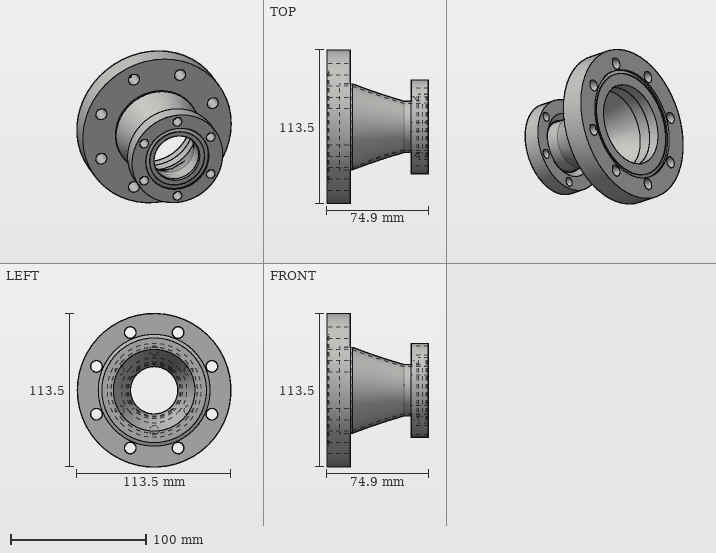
import cadquery as cq
import math

TOTAL_LENGTH = 74.93

LARGE_FLANGE_DIA = 113.54
LARGE_FLANGE_THICKNESS = 17.3
LARGE_RECESS_DIA = 82.55
LARGE_KNIFE_DIA = 77.22
LARGE_BORE_DIA = 60.33
LARGE_SOCKET_DIA = 63.75
LARGE_SOCKET_FLOOR_X = 9.5
LARGE_BOLT_CIRCLE_DIA = 92.2
LARGE_BOLT_HOLE_DIA = 8.4
LARGE_BOLT_COUNT = 8

KNIFE_TIP_DEPTH = 0.65
KNIFE_STEP = 0.65
KNIFE_SLOPE_DEG = 20

REDUCER_LARGE_OD = 63.5
REDUCER_LARGE_ID = 60.2
REDUCER_SMALL_OD = 38.1
REDUCER_SMALL_ID = 34.8
TAPER_START_X = 19.05
INNER_TAPER_START_X = 18.7
TAPER_END_X = 56.8
TAPER_SAG = 0.45

RING_DIA = 69.34
RING_THICKNESS = 12.7
RING_BACK_X = TOTAL_LENGTH - RING_THICKNESS
RING_BORE_DIA = 39.62
RING_POCKET_DIA = 48.15
RING_FLARE_DIA = RING_POCKET_DIA
RING_FLARE_DEPTH = (RING_FLARE_DIA - RING_BORE_DIA) / 2
RING_LIP_LENGTH = 1.0
RING_BOLT_CIRCLE_DIA = 58.7
RING_BOLT_HOLE_DIA = 6.7
RING_BOLT_COUNT = 6

INSERT_DIA = 48.1
INSERT_BORE_DIA = 34.92
INSERT_SOCKET_DIA = 38.35
INSERT_KNIFE_DIA = 41.9
INSERT_SOCKET_DEPTH = 3.0
INSERT_BACK_X = RING_BACK_X + RING_FLARE_DEPTH + RING_LIP_LENGTH
INSERT_SOCKET_FLOOR_X = INSERT_BACK_X + INSERT_SOCKET_DEPTH


def revolve_about_x(profile):
    """Turn a closed (x, radius) outline a full revolution about the X axis."""
    return profile.close().revolve(360, (0, 0, 0), (1, 0, 0))


def knife_slope_depth(outer_dia, knife_dia):
    """Axial fall of the seal slope between the knife tip and the outer diameter."""
    return (outer_dia - knife_dia) / 2 * math.tan(math.radians(KNIFE_SLOPE_DEG))


def bolt_holes(x_start, length, circle_dia, hole_dia, count):
    """Evenly spaced bolt holes along X, straddling the Y axis."""
    return (
        cq.Workplane("YZ", origin=(x_start, 0, 0))
        .polarArray(circle_dia / 2, 180 / count, 360, count)
        .circle(hole_dia / 2)
        .extrude(length)
    )


def make_large_flange():
    """Fixed flange with a knife-edge seal in front and a tube socket behind."""
    knife_floor_x = KNIFE_TIP_DEPTH + KNIFE_STEP
    recess_floor_x = KNIFE_TIP_DEPTH + knife_slope_depth(LARGE_RECESS_DIA, LARGE_KNIFE_DIA)
    profile = (
        cq.Workplane("XY")
        .moveTo(0, LARGE_FLANGE_DIA / 2)
        .lineTo(LARGE_FLANGE_THICKNESS, LARGE_FLANGE_DIA / 2)
        .lineTo(LARGE_FLANGE_THICKNESS, LARGE_SOCKET_DIA / 2)
        .lineTo(LARGE_SOCKET_FLOOR_X, LARGE_SOCKET_DIA / 2)
        .lineTo(LARGE_SOCKET_FLOOR_X, LARGE_BORE_DIA / 2)
        .lineTo(knife_floor_x, LARGE_BORE_DIA / 2)
        .lineTo(knife_floor_x, LARGE_KNIFE_DIA / 2)
        .lineTo(KNIFE_TIP_DEPTH, LARGE_KNIFE_DIA / 2)
        .lineTo(recess_floor_x, LARGE_RECESS_DIA / 2)
        .lineTo(0, LARGE_RECESS_DIA / 2)
    )
    holes = bolt_holes(
        0, LARGE_FLANGE_THICKNESS, LARGE_BOLT_CIRCLE_DIA, LARGE_BOLT_HOLE_DIA, LARGE_BOLT_COUNT
    )
    return revolve_about_x(profile).cut(holes)


def make_reducer():
    """Thin tube with straight ends and a slightly hollow taper between them."""
    outer_mid_x = (TAPER_START_X + TAPER_END_X) / 2
    inner_mid_x = (INNER_TAPER_START_X + TAPER_END_X) / 2
    outer_mid_radius = (REDUCER_LARGE_OD + REDUCER_SMALL_OD) / 4 - TAPER_SAG
    inner_mid_radius = (REDUCER_LARGE_ID + REDUCER_SMALL_ID) / 4 - TAPER_SAG
    profile = (
        cq.Workplane("XY")
        .moveTo(LARGE_SOCKET_FLOOR_X, REDUCER_LARGE_OD / 2)
        .lineTo(TAPER_START_X, REDUCER_LARGE_OD / 2)
        .threePointArc((outer_mid_x, outer_mid_radius), (TAPER_END_X, REDUCER_SMALL_OD / 2))
        .lineTo(INSERT_SOCKET_FLOOR_X, REDUCER_SMALL_OD / 2)
        .lineTo(INSERT_SOCKET_FLOOR_X, REDUCER_SMALL_ID / 2)
        .lineTo(TAPER_END_X, REDUCER_SMALL_ID / 2)
        .threePointArc((inner_mid_x, inner_mid_radius), (INNER_TAPER_START_X, REDUCER_LARGE_ID / 2))
        .lineTo(LARGE_SOCKET_FLOOR_X, REDUCER_LARGE_ID / 2)
    )
    return revolve_about_x(profile)


def make_flange_ring():
    """Rotatable bolt ring: flared bore behind, insert pocket in front, lip between."""
    flare_end_x = RING_BACK_X + RING_FLARE_DEPTH
    profile = (
        cq.Workplane("XY")
        .moveTo(RING_BACK_X, RING_DIA / 2)
        .lineTo(TOTAL_LENGTH, RING_DIA / 2)
        .lineTo(TOTAL_LENGTH, RING_POCKET_DIA / 2)
        .lineTo(INSERT_BACK_X, RING_POCKET_DIA / 2)
        .lineTo(INSERT_BACK_X, RING_BORE_DIA / 2)
        .lineTo(flare_end_x, RING_BORE_DIA / 2)
        .lineTo(RING_BACK_X, RING_FLARE_DIA / 2)
    )
    holes = bolt_holes(
        RING_BACK_X, RING_THICKNESS, RING_BOLT_CIRCLE_DIA, RING_BOLT_HOLE_DIA, RING_BOLT_COUNT
    )
    return revolve_about_x(profile).cut(holes)


def make_weld_insert():
    """Sealing disc seated on the ring lip, with a socket for the small tube end."""
    knife_tip_x = TOTAL_LENGTH - KNIFE_TIP_DEPTH
    rim_x = knife_tip_x - knife_slope_depth(INSERT_DIA, INSERT_KNIFE_DIA)
    knife_floor_x = knife_tip_x - KNIFE_STEP
    profile = (
        cq.Workplane("XY")
        .moveTo(INSERT_BACK_X, INSERT_DIA / 2)
        .lineTo(rim_x, INSERT_DIA / 2)
        .lineTo(knife_tip_x, INSERT_KNIFE_DIA / 2)
        .lineTo(knife_floor_x, INSERT_KNIFE_DIA / 2)
        .lineTo(knife_floor_x, INSERT_BORE_DIA / 2)
        .lineTo(INSERT_SOCKET_FLOOR_X, INSERT_BORE_DIA / 2)
        .lineTo(INSERT_SOCKET_FLOOR_X, INSERT_SOCKET_DIA / 2)
        .lineTo(INSERT_BACK_X, INSERT_SOCKET_DIA / 2)
    )
    return revolve_about_x(profile)


large_flange = make_large_flange()
reducer = make_reducer()
flange_ring = make_flange_ring()
weld_insert = make_weld_insert()

result = cq.Compound.makeCompound(
    [large_flange.val(), reducer.val(), flange_ring.val(), weld_insert.val()]
)